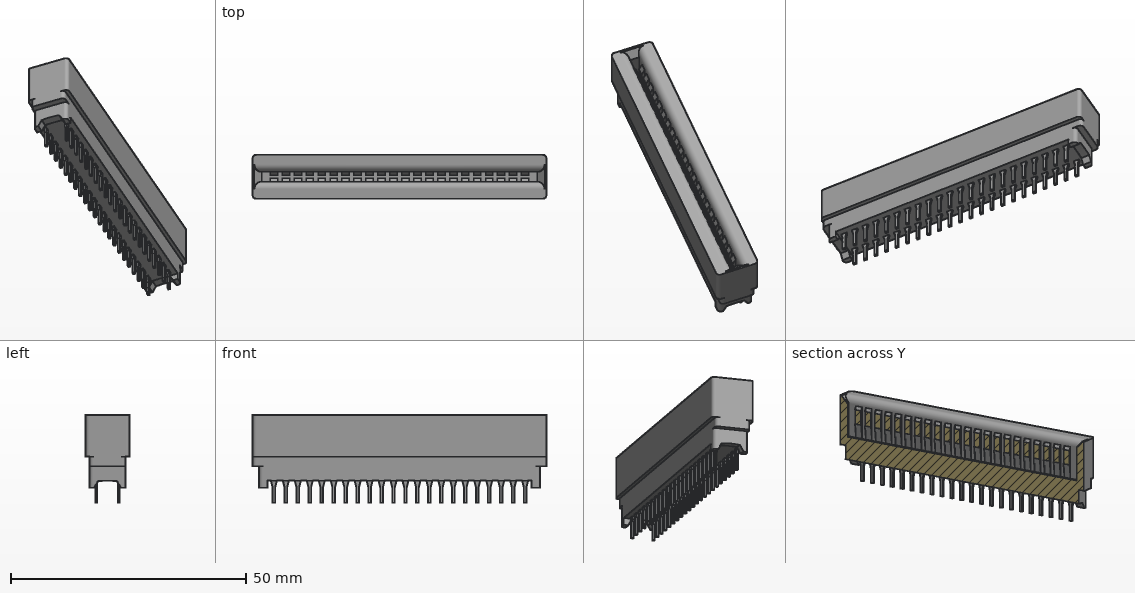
import cadquery as cq

LENGTH = 62.5
WIDTH = 9.4
HEIGHT = 18.7
CORNER_RADIUS = 0.8
UPPER_HEIGHT = 8.9
WAIST_WIDTH = WIDTH - 2 * CORNER_RADIUS
WAIST_DEPTH = 10.95
BASE_INSET = 1.4
BASE_DEPTH = 14.0
FOOT_DEPTH = 15.5
FOOT_LENGTH = 1.9
ARCH_FOOT_WIDTH = 5.6
ARCH_SHOULDER_WIDTH = 4.0
ARCH_SHOULDER_DEPTH = 14.1

SLOT_END_WALL = 0.45
MOUTH_WIDTH = 5.1
THROAT_WIDTH = 2.05
LEAD_IN = (MOUTH_WIDTH - THROAT_WIDTH) / 2
SLOT_DEPTH = 8.9

CONTACT_COUNT = 22
ROW_LENGTH = 53.35
PITCH = ROW_LENGTH / (CONTACT_COUNT - 1)
CONTACT_WIDTH = 1.55
CONTACT_GAP = 0.55
CONTACT_TOP = 1.9
CONTACT_TIP = 3.1
PIN_ROW_SPACING = 4.75
PIN_WIDTH = 0.6
PIN_ROOT_WIDTH = 1.3
PIN_THICKNESS = 0.45
PIN_TAPER_END = 15.4


def rounded_block(length, width, top_depth, bottom_depth):
    """Box with rounded upright edges between two depths below the top face."""
    return (
        cq.Workplane("XY", origin=(0, 0, HEIGHT - bottom_depth))
        .rect(length, width)
        .extrude(bottom_depth - top_depth)
        .edges("|Z")
        .fillet(CORNER_RADIUS)
    )


def housing():
    """Stepped body with a pair of arched feet at each end."""
    base_length = LENGTH - 2 * BASE_INSET
    foot_height = FOOT_DEPTH - BASE_DEPTH
    foot_bottom = HEIGHT - FOOT_DEPTH
    shoulder = ARCH_SHOULDER_WIDTH / 2
    shoulder_height = FOOT_DEPTH - ARCH_SHOULDER_DEPTH
    between_feet = cq.Workplane("XY", origin=(0, 0, foot_bottom)).box(
        base_length - 2 * FOOT_LENGTH, WIDTH, foot_height, centered=(True, True, False)
    )
    foot_arch = (
        cq.Workplane("YZ", origin=(0, 0, foot_bottom))
        .moveTo(-ARCH_FOOT_WIDTH / 2, 0)
        .lineTo(-shoulder, shoulder_height)
        .threePointArc((0, foot_height), (shoulder, shoulder_height))
        .lineTo(ARCH_FOOT_WIDTH / 2, 0)
        .close()
        .extrude(LENGTH / 2, both=True)
    )
    return (
        rounded_block(LENGTH, WIDTH, 0, UPPER_HEIGHT)
        .union(rounded_block(LENGTH, WAIST_WIDTH, UPPER_HEIGHT, WAIST_DEPTH))
        .union(rounded_block(base_length, WAIST_WIDTH, WAIST_DEPTH, FOOT_DEPTH))
        .cut(between_feet)
        .cut(foot_arch)
    )


def card_slot():
    """Slot with rounded long lips and sloping ends, narrowing to a straight throat."""
    mouth = MOUTH_WIDTH / 2
    throat = THROAT_WIDTH / 2
    across = (
        cq.Workplane("YZ", origin=(0, 0, HEIGHT))
        .moveTo(-mouth, 0)
        .radiusArc((-throat, -LEAD_IN), LEAD_IN)
        .lineTo(-throat, -SLOT_DEPTH)
        .lineTo(throat, -SLOT_DEPTH)
        .lineTo(throat, -LEAD_IN)
        .radiusArc((mouth, 0), LEAD_IN)
        .close()
        .extrude(LENGTH / 2, both=True)
    )
    mouth_end = LENGTH / 2 - SLOT_END_WALL
    throat_end = mouth_end - LEAD_IN
    along = (
        cq.Workplane("XZ", origin=(0, 0, HEIGHT))
        .polyline([
            (-mouth_end, 0),
            (-throat_end, -LEAD_IN),
            (-throat_end, -SLOT_DEPTH),
            (throat_end, -SLOT_DEPTH),
            (throat_end, -LEAD_IN),
            (mouth_end, 0),
        ])
        .close()
        .extrude(WIDTH / 2, both=True)
    )
    return across.intersect(along)


def contact():
    """Contact on the +Y slot wall, bowed inward to its tip."""
    wall = THROAT_WIDTH / 2
    tip = CONTACT_GAP / 2
    return (
        cq.Workplane("YZ", origin=(-CONTACT_WIDTH / 2, 0, HEIGHT))
        .polyline([
            (wall, -CONTACT_TOP),
            (tip, -CONTACT_TIP),
            (wall, -SLOT_DEPTH),
        ])
        .close()
        .extrude(CONTACT_WIDTH)
    )


def pin():
    """Flat solder pin of the +Y row, tapering below its root."""
    root = PIN_ROOT_WIDTH / 2
    half = PIN_WIDTH / 2
    taper_end = HEIGHT - PIN_TAPER_END
    return (
        cq.Workplane("XZ", origin=(0, PIN_ROW_SPACING / 2, 0))
        .polyline([
            (-root, HEIGHT - BASE_DEPTH),
            (-half, taper_end),
            (-half, 0),
            (half, 0),
            (half, taper_end),
            (root, HEIGHT - BASE_DEPTH),
        ])
        .close()
        .extrude(PIN_THICKNESS / 2, both=True)
    )


def row_pair(feature):
    """Repeat a +Y feature along its row and mirror the row to -Y."""
    positions = [(index * PITCH - ROW_LENGTH / 2, 0) for index in range(CONTACT_COUNT)]
    both_sides = feature.add(feature.mirror("XZ")).combine()
    shape = cq.Compound.makeCompound(both_sides.vals())
    return cq.Workplane("XY").pushPoints(positions).eachpoint(shape, combine=False).combine()


result = housing().cut(card_slot()).union(row_pair(contact())).union(row_pair(pin()))